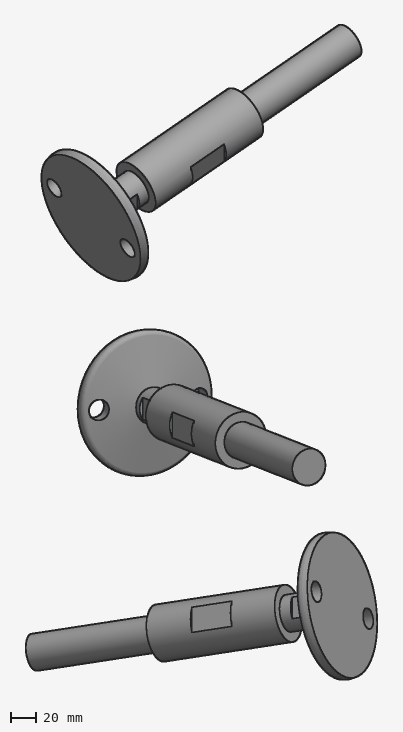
import cadquery as cq
import math

total_length = 277.0

foot_diameter = 118.0
foot_radius = foot_diameter / 2
underside_radius = 58.2
rim_bottom = 4.2
foot_height = 17.5
cone_top_radius = 15.5
cone_angle = 10.6
rim_fillet = 4.0

bolt_hole_diameter = 16.5
bolt_hole_offset = 43.0

spindle_diameter = 30.0
spindle_flat_start = 23.5
spindle_flat_length = 15.0
spindle_across_flats = 24.0

sleeve_diameter = 46.0
sleeve_start = 48.5
sleeve_length = 115.5
sleeve_flat_length = 36.0
sleeve_flat_start = sleeve_start + (sleeve_length - sleeve_flat_length) / 2
sleeve_across_flats = 41.0


def rod(diameter, start, length):
    """Solid cylinder along +Y, beginning at Y = start."""
    return cq.Workplane("XZ", origin=(0, start, 0)).circle(diameter / 2).extrude(-length)


def cut_wrench_flats(body, diameter, across_flats, start, length):
    """Cut two opposite flats, facing -X and +X, over a length of a round body."""
    depth = (diameter - across_flats) / 2
    for side in (-1, 1):
        cutter = cq.Workplane("XY").box(depth, length, diameter)
        body = body.cut(cutter.translate((side * (across_flats + depth) / 2, start + length / 2, 0)))
    return body


def make_foot():
    """Conical disc with a rounded rim, a tapered lower edge and two tilted bolt holes."""
    slope = math.radians(cone_angle)
    cone_edge_height = foot_height - (foot_radius - cone_top_radius) * math.tan(slope)
    foot = (
        cq.Workplane("XY")
        .moveTo(0, 0)
        .lineTo(underside_radius, 0)
        .lineTo(foot_radius, rim_bottom)
        .lineTo(foot_radius, cone_edge_height)
        .lineTo(cone_top_radius, foot_height)
        .lineTo(0, foot_height)
        .close()
        .revolve(360, (0, 0, 0), (0, 1, 0))
    )
    rim_center = (0, cone_edge_height, 0)
    foot = foot.edges("%CIRCLE").edges(cq.selectors.NearestToPointSelector(rim_center)).fillet(rim_fillet)

    drill_length = 3 * foot_height
    for side in (-1, 1):
        direction = cq.Vector(side * math.sin(slope), math.cos(slope), 0)
        start = cq.Vector(side * bolt_hole_offset, 0, 0) - direction * foot_height
        drill = cq.Solid.makeCylinder(bolt_hole_diameter / 2, drill_length, start, direction)
        foot = foot.cut(cq.Workplane(drill))
    return foot


def make_footed_spindle():
    """Foot and spindle in one piece."""
    spindle = rod(spindle_diameter, foot_height, total_length - foot_height)
    spindle = cut_wrench_flats(
        spindle, spindle_diameter, spindle_across_flats, spindle_flat_start, spindle_flat_length
    )
    return make_foot().union(spindle)


def make_sleeve():
    """Tube fitted around the spindle, with its own pair of wrench flats."""
    sleeve = rod(sleeve_diameter, sleeve_start, sleeve_length)
    sleeve = sleeve.cut(rod(spindle_diameter, sleeve_start, sleeve_length))
    return cut_wrench_flats(
        sleeve, sleeve_diameter, sleeve_across_flats, sleeve_flat_start, sleeve_flat_length
    )


footed_spindle = make_footed_spindle()
sleeve = make_sleeve()

result = cq.Compound.makeCompound([footed_spindle.val(), sleeve.val()])